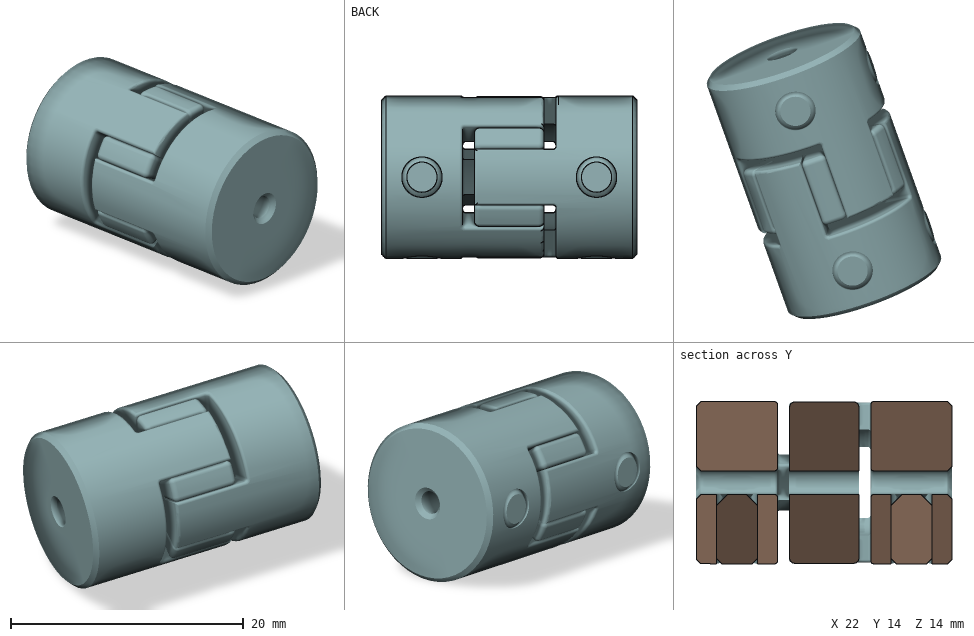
import cadquery as cq
import math


total_length = 22.0
outer_radius = 7.0
hub_body_length = 7.0
end_gap = 1.01
bore_diameter = 2.0
hub_chamfer = 0.4

jaws_per_hub = 3
jaw_inner_radius = 4.65
left_jaw_angle = 0
right_jaw_angle = 180
jaw_root_fillet = 0.25
jaw_edge_fillet = 0.25
inner_corner_fillet = 0.25

arm_outer_radius = 6.95
arm_half_width = 0.9
arm_side_angle = 5.3
arm_fillet = 0.45

screw_angles = (0, -90)
screw_radius = 1.74
screw_head_chamfer = 0.45
screw_tip_radius = 0.84

bore_radius = bore_diameter / 2
spider_start = hub_body_length + end_gap
spider_length = total_length - 2 * spider_start
jaw_tip = spider_start + spider_length
jaw_length = jaw_tip - hub_body_length
jaw_pitch = 360 / jaws_per_hub
arm_count = 2 * jaws_per_hub
arm_pitch = 360 / arm_count
arm_start_radius = jaw_inner_radius / 2
flank_slope = math.tan(math.radians(arm_side_angle))
flank_offset = (arm_half_width - jaw_inner_radius * flank_slope) * math.cos(math.radians(arm_side_angle))
jaw_half_angle = arm_pitch / 2 - arm_side_angle
jaw_apex = flank_offset / math.sin(math.radians(jaw_half_angle))
screw_x = hub_body_length / 2
screw_length = outer_radius - bore_radius
screw_tip_chamfer = screw_radius - screw_tip_radius

AXIS_START = (0, 0, 0)
AXIS_END = (1, 0, 0)
TOLERANCE = 0.002


def turn(shape, angle):
    """Turn a shape about the coupling axis."""
    return shape.rotate(AXIS_START, AXIS_END, angle)


def disc(radius, start, length):
    """Cylinder on the coupling axis."""
    return cq.Workplane("YZ", origin=(start, 0, 0)).circle(radius).extrude(length)


def make_jaw_wedge():
    """Prism around the jaw at +Y, as wide as the space between two arms."""
    reach = 2 * outer_radius
    half_width = (reach - jaw_apex) * math.tan(math.radians(jaw_half_angle))
    return (
        cq.Workplane("YZ", origin=(hub_body_length, 0, 0))
        .polyline([(jaw_apex, 0), (reach, -half_width), (reach, half_width)])
        .close()
        .extrude(jaw_length)
    )


def make_hub_blank():
    """Turned hub: chamfered body with its bore, and the ring the jaws are cut from."""
    profile = [
        (0, bore_radius + hub_chamfer),
        (0, outer_radius - hub_chamfer),
        (hub_chamfer, outer_radius),
        (jaw_tip, outer_radius),
        (jaw_tip, jaw_inner_radius),
        (hub_body_length, jaw_inner_radius),
        (hub_body_length, bore_radius),
        (hub_chamfer, bore_radius),
    ]
    return cq.Workplane("XZ").polyline(profile).close().revolve(360, AXIS_START, AXIS_END)


def end_radii(edge):
    """Distances of the two ends of an edge from the axis."""
    return [math.hypot(end.y, end.z) for end in (edge.startPoint(), edge.endPoint())]


def round_inner_corner(hub):
    """Round the inner corner of the first jaw that faces +Z."""
    corner_edges = [
        edge for edge in hub.edges("|X").vals()
        if abs(end_radii(edge)[0] - jaw_inner_radius) < TOLERANCE
        and edge.Center().y > 0
        and 0 < edge.Center().z < jaw_inner_radius / 2
    ]
    return hub.newObject(corner_edges).fillet(inner_corner_fillet)


def cut_jaws(hub, has_round_corner):
    """Cut the gaps between the jaws, then round the jaw roots and the outer edges."""
    waste = disc(2 * outer_radius, hub_body_length, jaw_length)
    for index in range(jaws_per_hub):
        waste = waste.cut(turn(make_jaw_wedge(), index * jaw_pitch))
    hub = hub.cut(waste)
    if has_round_corner:
        hub = round_inner_corner(hub)

    root_edges = [
        edge for edge in hub.edges().vals()
        if abs(edge.Center().x - hub_body_length) < TOLERANCE
        and min(end_radii(edge)) < outer_radius - TOLERANCE
    ]
    hub = hub.newObject(root_edges).fillet(jaw_root_fillet)

    outer_edges = [
        edge for edge in hub.edges().vals()
        if edge.Center().x > hub_body_length - TOLERANCE
        and min(end_radii(edge)) > outer_radius - TOLERANCE
    ]
    return hub.newObject(outer_edges).fillet(jaw_edge_fillet)


def make_screw():
    """Left set screw pointing along +Y, head flush with the rim and tip at the bore."""
    return (
        cq.Workplane("XZ", origin=(screw_x, bore_radius, 0))
        .circle(screw_radius)
        .extrude(-screw_length)
        .faces("<Y").chamfer(screw_tip_chamfer)
        .faces(">Y").chamfer(screw_head_chamfer)
    )


def make_screw_hole():
    """Cutter for a screw hole along +Y, from the bore out through the rim."""
    return (
        cq.Workplane("XZ", origin=(screw_x, bore_radius, 0))
        .circle(screw_radius)
        .extrude(-outer_radius)
    )


def make_hub(jaw_angle, has_round_corner):
    """Hub with its body at the X origin and one jaw at an angle from +Y."""
    hub = turn(cut_jaws(make_hub_blank(), has_round_corner), jaw_angle)
    for angle in screw_angles:
        hub = hub.cut(turn(make_screw_hole(), angle))
    return hub


def make_arm():
    """Spider arm pointing along +Y: tapered block with a cylindrical top and rounded edges."""
    start_half_width = arm_half_width - (jaw_inner_radius - arm_start_radius) * flank_slope
    reach = 2 * outer_radius
    end_half_width = arm_half_width + (reach - jaw_inner_radius) * flank_slope
    arm = (
        cq.Workplane("YZ", origin=(spider_start, 0, 0))
        .polyline([
            (arm_start_radius, -start_half_width),
            (reach, -end_half_width),
            (reach, end_half_width),
            (arm_start_radius, start_half_width),
        ])
        .close()
        .extrude(spider_length)
        .intersect(disc(arm_outer_radius, spider_start, spider_length))
    )
    return arm.edges("not <Y").fillet(arm_fillet)


def make_spider():
    """Core between the jaws with one rounded arm in each space between two jaws."""
    spider = disc(jaw_inner_radius, spider_start, spider_length)
    for index in range(arm_count):
        spider = spider.union(turn(make_arm(), (index + 0.5) * arm_pitch))
    return spider.cut(disc(bore_radius, spider_start, spider_length))


def to_right_side(left_part):
    """Mirror a part from the left half of the coupling to the right half."""
    return left_part.mirror("YZ", (total_length / 2, 0, 0))


left_hub = make_hub(left_jaw_angle, has_round_corner=True)
right_hub = to_right_side(make_hub(right_jaw_angle, has_round_corner=False))
spider = make_spider()
screws = []
for angle in screw_angles:
    screw = turn(make_screw(), angle)
    screws += [screw, to_right_side(screw)]

result = cq.Compound.makeCompound(
    [left_hub.val(), right_hub.val(), spider.val(), *[screw.val() for screw in screws]]
)